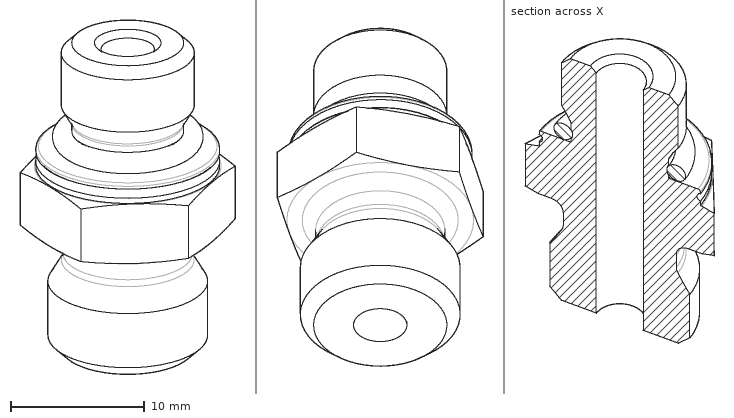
import cadquery as cq
import math

total_height = 25.0
hex_bottom = 10.0
hex_top = 14.9
flange_top = 16.5

bore_radius = 2.0
bore_mouth_radius = 2.5
lower_radius = 6.0
lower_neck_radius = 4.85
upper_radius = 5.0
upper_neck_radius = 4.2
flange_radius = 6.9

lower_chamfer = 1.0
lower_thread_top = 5.45
upper_chamfer = 0.8
upper_thread_bottom = 19.9
cone_angle = math.radians(30)
lower_blend_radius = 1.0
upper_blend_radius = 0.4
hex_fillet_radius = 1.0

hex_across_flats = 14.0
hex_across_corners = hex_across_flats / math.cos(math.radians(30))
hex_chamfer_angle = math.radians(15)

flange_edge_round = 0.2
groove_bottom = 15.32
groove_top = 16.08
groove_depth = 0.28

ring_wire_radius = 0.8
ring_center_radius = 4.85
ring_height = flange_top + ring_wire_radius


def revolve_profile(profile):
    """Revolve a closed (radius, height) profile about the Z axis."""
    return profile.close().revolve(360, (0, 0, 0), (0, 1, 0))


def blend_arc(profile, corner, blend_radius, cone_side):
    """Run a profile through an arc that blends a cone into a cylindrical neck.

    corner is the sharp (radius, height) meeting point. cone_side is 1 when the
    cone lies above it and -1 when it lies below. Profiles run upwards.
    """
    corner_radius, corner_height = corner
    tangent_length = blend_radius * math.tan(cone_angle / 2)
    center_height = corner_height - cone_side * tangent_length

    def arc_point(angle):
        radius = corner_radius + blend_radius * (1 - math.cos(angle))
        return radius, center_height + cone_side * blend_radius * math.sin(angle)

    arc = [arc_point(0), arc_point(cone_angle / 2), arc_point(cone_angle)]
    first, middle, last = arc if cone_side > 0 else reversed(arc)
    return profile.lineTo(*first).threePointArc(middle, last)


def make_lower_end():
    """Lower threaded end, its cone and the neck that flares into the hexagon."""
    cone_height = (lower_radius - lower_neck_radius) / math.tan(cone_angle)
    neck_corner = (lower_neck_radius, lower_thread_top + cone_height)
    profile = (
        cq.Workplane("XZ")
        .lineTo(lower_radius - lower_chamfer, 0)
        .lineTo(lower_radius, lower_chamfer)
        .lineTo(lower_radius, lower_thread_top)
    )
    profile = blend_arc(profile, neck_corner, lower_blend_radius, -1)
    profile = (
        profile.lineTo(lower_neck_radius, hex_bottom - hex_fillet_radius)
        .tangentArcPoint((lower_neck_radius + hex_fillet_radius, hex_bottom), relative=False)
        .lineTo(0, hex_bottom)
    )
    return revolve_profile(profile)


def make_hexagon():
    """Hexagon with its corners bevelled at both ends."""
    hexagon = (
        cq.Workplane("XY")
        .workplane(offset=hex_bottom)
        .transformed(rotate=(0, 0, 90))
        .polygon(6, hex_across_corners)
        .extrude(hex_top - hex_bottom)
    )
    flat_radius = hex_across_flats / 2
    corner_radius = hex_across_corners / 2
    bevel_height = (corner_radius - flat_radius) * math.tan(hex_chamfer_angle)
    envelope = revolve_profile(
        cq.Workplane("XZ")
        .moveTo(0, hex_bottom)
        .lineTo(flat_radius, hex_bottom)
        .lineTo(corner_radius, hex_bottom + bevel_height)
        .lineTo(corner_radius, hex_top - bevel_height)
        .lineTo(flat_radius, hex_top)
        .lineTo(0, hex_top)
    )
    return hexagon.intersect(envelope)


def make_flange():
    """Round flange with a rounded top edge and a shallow groove around its rim."""
    groove_middle = (groove_bottom + groove_top) / 2
    return revolve_profile(
        cq.Workplane("XZ")
        .moveTo(0, hex_top)
        .lineTo(flange_radius, hex_top)
        .lineTo(flange_radius, groove_bottom)
        .threePointArc((flange_radius - groove_depth, groove_middle), (flange_radius, groove_top))
        .lineTo(flange_radius, flange_top - flange_edge_round)
        .tangentArcPoint((flange_radius - flange_edge_round, flange_top), relative=False)
        .lineTo(0, flange_top)
    )


def make_upper_end():
    """Neck above the flange, its cone and the upper threaded end."""
    cone_height = (upper_radius - upper_neck_radius) / math.tan(cone_angle)
    neck_corner = (upper_neck_radius, upper_thread_bottom - cone_height)
    profile = cq.Workplane("XZ").moveTo(0, flange_top).lineTo(upper_neck_radius, flange_top)
    profile = blend_arc(profile, neck_corner, upper_blend_radius, 1)
    profile = (
        profile.lineTo(upper_radius, upper_thread_bottom)
        .lineTo(upper_radius, total_height - upper_chamfer)
        .lineTo(upper_radius - upper_chamfer, total_height)
        .lineTo(0, total_height)
    )
    return revolve_profile(profile)


def make_bore():
    """Through bore with a 45 degree countersink at the upper mouth."""
    countersink_depth = bore_mouth_radius - bore_radius
    return revolve_profile(
        cq.Workplane("XZ")
        .lineTo(bore_radius, 0)
        .lineTo(bore_radius, total_height - countersink_depth)
        .lineTo(bore_mouth_radius, total_height)
        .lineTo(0, total_height)
    )


def make_sealing_ring():
    circle = cq.Workplane("XZ").center(ring_center_radius, ring_height).circle(ring_wire_radius)
    return circle.revolve(360, (-ring_center_radius, 0, 0), (-ring_center_radius, 1, 0))


def make_stud(ring):
    """Stud body, with a shallow seat in its upper neck that fits the ring."""
    solid_stud = make_lower_end().union(make_hexagon()).union(make_flange()).union(make_upper_end())
    return solid_stud.cut(make_bore()).cut(ring)


sealing_ring = make_sealing_ring()
stud = make_stud(sealing_ring)

result = cq.Compound.makeCompound([stud.solids().val(), sealing_ring.val()])